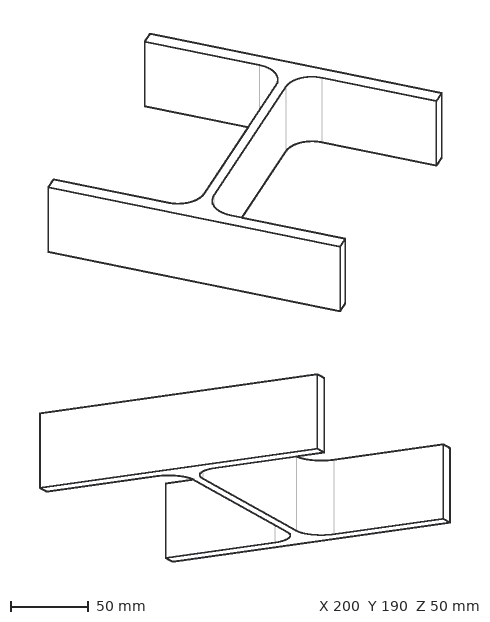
import cadquery as cq

flange_width = 200.0
section_depth = 190.0
beam_length = 50.0
flange_thickness = 10.0
web_thickness = 6.5
root_radius = 18.0

flange_offset = (section_depth - flange_thickness) / 2

web = cq.Workplane("XY").rect(web_thickness, section_depth).extrude(beam_length)

flanges = (
    cq.Workplane("XY")
    .pushPoints([(0, -flange_offset), (0, flange_offset)])
    .rect(flange_width, flange_thickness)
    .extrude(beam_length)
)

beam = web.union(flanges).clean()

root_x = web_thickness / 2
root_y = section_depth / 2 - flange_thickness
selection_margin = 1.0
root_edges = cq.selectors.BoxSelector(
    (-root_x - selection_margin, -root_y - selection_margin, 0),
    (root_x + selection_margin, root_y + selection_margin, beam_length),
)
result = beam.edges("|Z").edges(root_edges).fillet(root_radius)